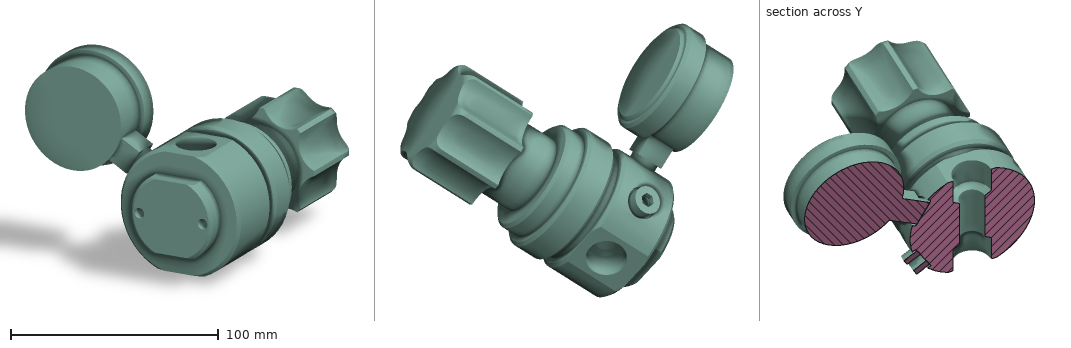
import cadquery as cq
import math


cap_end = 8.5
cap_radius = 22.4
body_end = 40.4
body_radius = 33.0
neck_end = 45.1
collar_end = 60.8
shoulder_end = 70.9
shoulder_radius = 28.6
stem_end = 92.0
stem_radius = 20.0
overall_length = 130.8
edge_chamfer = 1.6
cap_chamfer = 1.7
body_flat_height = 30.3
cap_flat_height = 18.7

knob_radius = shoulder_radius
ridge_count = 8
ridge_width = 2.6
scallop_radius = 13.6
knob_fillet = 4.8

branch_y = 25.5
port_radius = 10.0
port_depth = 14.4
passage_radius = 6.5
drill_tip_angle = 118.0
recess_radius = 8.0
recess_floor = 30.0
pin_hole_offset = 17.3
pin_hole_radius = 2.6
pin_hole_depth = 3.9

gauge_angle = 150.0
gauge_distance = 72.0
gauge_back = 16.1
gauge_back_radius = 26.3
bezel_back = 34.8
bezel_front = 45.4
bezel_radius = 29.0
lens_front = 47.0
lens_radius = 25.9
block_width = 14.0
block_start = 35.6
shank_radius = 6.9

plug_angle = 210.0
plug_end = 37.8
plug_head_start = 32.5
plug_radius = 6.9
plug_shank_radius = 6.8
socket_corner_diameter = 7.2
socket_depth = 3.9
socket_drill_radius = 3.0
socket_drill_depth = 3.7


def cylinder_y(radius, start, end):
    """Cylinder on the Y axis from start to end."""
    return cq.Workplane("XZ", origin=(0, start, 0)).circle(radius).extrude(start - end)


def branch_plane(angle, distance):
    """Workplane facing outward on a branch, with its local x along Y."""
    radians = math.radians(angle)
    outward = cq.Vector(math.cos(radians), 0, math.sin(radians))
    origin = outward * distance + cq.Vector(0, branch_y, 0)
    return cq.Workplane(cq.Plane(origin=origin, xDir=(0, 1, 0), normal=outward))


def drill_cutter(entry, inward, radius, depth):
    """Blind drill with a conical tip, from the entry point along the inward direction."""
    tip_start = entry + inward * depth
    tip_length = radius / math.tan(math.radians(drill_tip_angle / 2))
    barrel = cq.Solid.makeCylinder(radius, depth, entry, inward)
    tip = cq.Solid.makeCone(radius, 0, tip_length, tip_start, inward)
    return cq.Workplane("XY").add(barrel).union(tip)


def flatten(shape, height, start, end):
    """Trim a shape to flats at +Z and -Z."""
    size = 2 * body_radius
    keep = cq.Workplane("XY").box(size, end - start, 2 * height).translate((0, (start + end) / 2, 0))
    return shape.intersect(keep)


def make_cap():
    cap = cylinder_y(cap_radius, 0, cap_end).faces("<Y").chamfer(cap_chamfer)
    cap = flatten(cap, cap_flat_height, 0, cap_end)
    for side in (-1, 1):
        entry = cq.Vector(side * pin_hole_offset, 0, 0)
        cap = cap.cut(drill_cutter(entry, cq.Vector(0, 1, 0), pin_hole_radius, pin_hole_depth))
    return cap


def make_body():
    body = cylinder_y(body_radius, cap_end, body_end).faces("<Y or >Y").chamfer(edge_chamfer)
    body = flatten(body, body_flat_height, cap_end, body_end)
    passage_cut = cq.Workplane("XY").circle(passage_radius).extrude(body_flat_height, both=True)
    body = body.cut(passage_cut.translate((0, branch_y, 0)))
    for side in (-1, 1):
        entry = cq.Vector(0, branch_y, side * body_flat_height)
        body = body.cut(drill_cutter(entry, cq.Vector(0, 0, -side), port_radius, port_depth))
    for angle in (gauge_angle, plug_angle):
        recess = branch_plane(angle, recess_floor).circle(recess_radius).extrude(body_radius)
        body = body.cut(recess)
    return body


def make_knob():
    knob = cylinder_y(knob_radius, stem_end, overall_length).faces(">Y").edges().fillet(knob_fillet)
    pitch = 360 / ridge_count
    half_angle = math.radians(pitch / 2) - math.asin(ridge_width / 2 / knob_radius)
    half_chord = knob_radius * math.sin(half_angle)
    chord_distance = knob_radius * math.cos(half_angle)
    scallop_distance = chord_distance + math.sqrt(scallop_radius**2 - half_chord**2)
    scallop = cylinder_y(scallop_radius, stem_end, overall_length).translate((0, 0, scallop_distance))
    for index in range(ridge_count):
        knob = knob.cut(scallop.rotate((0, 0, 0), (0, 1, 0), (index + 0.5) * pitch))
    return knob


def make_regulator():
    collar = cylinder_y(body_radius, neck_end, collar_end).faces("<Y or >Y").chamfer(edge_chamfer)
    shoulder = cylinder_y(shoulder_radius, collar_end, shoulder_end).faces(">Y").chamfer(edge_chamfer)
    regulator = make_cap().union(make_body())
    regulator = regulator.union(cylinder_y(shoulder_radius, body_end, neck_end))
    regulator = regulator.union(collar).union(shoulder)
    regulator = regulator.union(cylinder_y(stem_radius, shoulder_end, stem_end))
    return regulator.union(make_knob())


def make_gauge():
    bezel = cylinder_y(bezel_radius, bezel_back, bezel_front).faces(">Y").chamfer(edge_chamfer)
    lens = cylinder_y(lens_radius, bezel_back, lens_front).faces(">Y").chamfer(lens_front - bezel_front)
    case = cylinder_y(gauge_back_radius, gauge_back, bezel_back).union(bezel).union(lens)
    radians = math.radians(gauge_angle)
    case = case.translate((gauge_distance * math.cos(radians), 0, gauge_distance * math.sin(radians)))
    block = branch_plane(gauge_angle, block_start).rect(block_width, block_width)
    block = block.extrude(gauge_distance - block_start)
    shank = branch_plane(gauge_angle, recess_floor).circle(shank_radius).extrude(block_start - recess_floor)
    return case.union(block).union(shank)


def make_plug():
    shank_length = plug_head_start - recess_floor
    plug = branch_plane(plug_angle, recess_floor).circle(plug_shank_radius).extrude(shank_length)
    head = branch_plane(plug_angle, plug_head_start).circle(plug_radius).extrude(plug_end - plug_head_start)
    plug = plug.union(head)
    socket = branch_plane(plug_angle, plug_end).polygon(6, socket_corner_diameter).extrude(-socket_depth)
    socket_floor = branch_plane(plug_angle, plug_end - socket_depth).plane
    inward = socket_floor.zDir * -1
    drill = drill_cutter(socket_floor.origin, inward, socket_drill_radius, socket_drill_depth)
    return plug.cut(socket).cut(drill)


regulator = make_regulator()
gauge = make_gauge()
plug = make_plug()

result = cq.Compound.makeCompound([regulator.val(), gauge.val(), plug.val()])